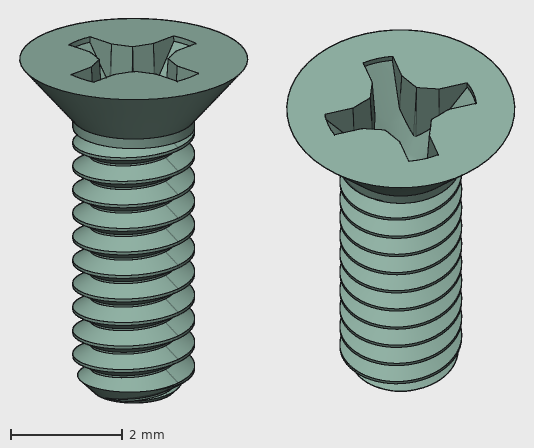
import cadquery as cq
import math

LENGTH = 6.35
HEAD_DIAMETER = 4.11
HEAD_RADIUS = HEAD_DIAMETER / 2
HEAD_HEIGHT = 1.125
COLLAR_HEIGHT = 0.185
SHANK_RADIUS = 1.1
POINT_CHAMFER = 0.36

TEN_TURN_ADVANCE = 4.535
PITCH = TEN_TURN_ADVANCE / 10
CREST_WIDTH = PITCH / 8
FLANK_ANGLE = 30.0
CREST_HEIGHT = 4.9
ROOT_RADIUS = 0.79
OVERRUN = 0.065

WING_RADIUS = 1.37
WING_HALF_WIDTH = 0.28
WING_THROAT = 0.81
CORNER_OFFSET = 0.44
RECESS_DEPTH = 1.86
WING_END_DEPTH = 0.1
WALL_TAPER = 3.5

COLLAR_TOP = LENGTH - HEAD_HEIGHT
COLLAR_BOTTOM = COLLAR_TOP - COLLAR_HEIGHT


def make_shank_limits():
    """Chamfered point and flat top, with clear space around the thread crests."""
    outer = SHANK_RADIUS + OVERRUN
    return (
        cq.Workplane("XZ")
        .moveTo(0, 0)
        .lineTo(SHANK_RADIUS - POINT_CHAMFER, 0)
        .lineTo(outer, POINT_CHAMFER + OVERRUN)
        .lineTo(outer, COLLAR_BOTTOM)
        .lineTo(0, COLLAR_BOTTOM)
        .close()
        .revolve(360, (0, 0), (0, 1))
    )


def make_head():
    """Countersunk head above a plain collar."""
    return (
        cq.Workplane("XZ")
        .moveTo(0, COLLAR_BOTTOM)
        .lineTo(SHANK_RADIUS, COLLAR_BOTTOM)
        .lineTo(SHANK_RADIUS, COLLAR_TOP)
        .lineTo(HEAD_RADIUS, LENGTH)
        .lineTo(0, LENGTH)
        .close()
        .revolve(360, (0, 0), (0, 1))
    )


def helix_turn(radius, bottom):
    """One turn of a right-hand helix, starting on the +X side at the given height."""
    wire = cq.Wire.makeHelix(PITCH, PITCH, radius)
    return wire.translate(cq.Vector(0, 0, bottom)).Edges()[0]


def make_threaded_rod():
    """Threaded rod built from helical faces, running past both ends of the shank."""
    crest_half = CREST_WIDTH / 2
    flank_rise = (SHANK_RADIUS - ROOT_RADIUS) * math.tan(math.radians(FLANK_ANGLE))
    section = [
        (ROOT_RADIUS, -crest_half - flank_rise),
        (SHANK_RADIUS, -crest_half),
        (SHANK_RADIUS, crest_half),
        (ROOT_RADIUS, crest_half + flank_rise),
        (ROOT_RADIUS, PITCH - crest_half - flank_rise),
    ]
    turns_below = math.ceil(CREST_HEIGHT / PITCH) + 1
    crests = [CREST_HEIGHT + turn * PITCH for turn in range(-turns_below, 2)]

    faces = []
    for crest in crests:
        turns = [helix_turn(radius, crest + rise) for radius, rise in section]
        for lower, upper in zip(turns, turns[1:]):
            faces.append(cq.Face.makeRuledSurface(lower, upper))

    for crest in (crests[0], crests[-1] + PITCH):
        start = crest + section[0][1]
        axis = cq.Edge.makeLine(cq.Vector(0, 0, start), cq.Vector(0, 0, start + PITCH))
        faces.append(cq.Face.makeRuledSurface(axis, helix_turn(ROOT_RADIUS, start)))
        step = [(0, start)]
        step += [(radius, crest + rise) for radius, rise in section]
        step += [(0, start + PITCH)]
        points = [cq.Vector(x, 0, z) for x, z in step]
        faces.append(cq.Face.makeFromWires(cq.Wire.makePolygon(points, close=True)))
    return cq.Workplane(obj=cq.Solid.makeSolid(cq.Shell.makeShell(faces)))


def make_recess():
    """Cross with tapered walls, bounded below by a cone."""
    quarter = [
        (WING_RADIUS + OVERRUN, -WING_HALF_WIDTH),
        (WING_RADIUS + OVERRUN, WING_HALF_WIDTH),
        (WING_THROAT, WING_HALF_WIDTH),
        (CORNER_OFFSET, CORNER_OFFSET),
        (WING_HALF_WIDTH, WING_THROAT),
    ]
    outline = []
    for turn in range(4):
        c = round(math.cos(turn * math.pi / 2))
        s = round(math.sin(turn * math.pi / 2))
        outline += [(c * x - s * y, s * x + c * y) for x, y in quarter]
    cross = (
        cq.Workplane("XY", origin=(0, 0, LENGTH))
        .polyline(outline)
        .close()
        .extrude(-RECESS_DEPTH, taper=WALL_TAPER)
    )
    envelope = (
        cq.Workplane("XZ")
        .moveTo(0, LENGTH)
        .lineTo(WING_RADIUS, LENGTH)
        .lineTo(WING_RADIUS, LENGTH - WING_END_DEPTH)
        .lineTo(0, LENGTH - RECESS_DEPTH)
        .close()
        .revolve(360, (0, 0), (0, 1))
    )
    return cross.intersect(envelope)


shank = make_threaded_rod().intersect(make_shank_limits())
result = shank.union(make_head()).cut(make_recess())